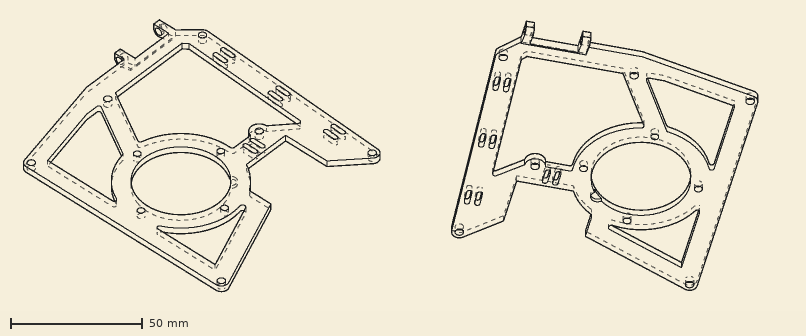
import cadquery as cq
import math

OVERALL_LENGTH = 119
PLATE_THICKNESS = 3.0
HINGE_HEIGHT = 5.0
PLATE_BOTTOM = HINGE_HEIGHT - PLATE_THICKNESS
CORNER_RADIUS = 3.0
INNER_FILLET = 1.0
SHOULDER_FILLET = 1.9
MOUNT_HOLE_DIAMETER = 3.2

TOP_LEFT = (17.8, 99.7)
TOP_RIGHT = (110.1, 94.6)
BOTTOM_LEFT = (18.0, CORNER_RADIUS)
BOTTOM_RIGHT = (OVERALL_LENGTH - CORNER_RADIUS, CORNER_RADIUS)
STRUT_HOLE = (15.3, 49.0)

RING_CENTER = (66.9, 33.9)
RING_RADIUS = 26.5
RING_BORE_DIAMETER = 38.0
RING_BOLT_RADIUS = 22.5
RING_BOLT_DIAMETER = 3.0
RING_BOLT_COUNT = 4
NOTCH_DIAMETER = 5.2
NOTCH_DEPTH = PLATE_THICKNESS / 2
NOTCH_ANGLE = 47

BOSS_CENTER = (70.1, 74.6)
BOSS_RADIUS = 4.0
NECK_LEFT = 69.3
NECK_RIGHT = 79.1

HINGE_WALL_X = 7.7
LEFT_EDGE_X = 5.0
LEFT_BEND_Y = 48.3
SHOULDER_Y = 47.5
SHOULDER_RIGHT_X = 100.9
TOP_BAR_WIDTH = 10.0
TOP_WING_CORNER = (100.4, 79.6)
LUG_SHOULDER_X = 8.3

WINDOW_LEFT = 15.2
WINDOW_CHAMFER = (2.1, 1.7)
WINDOW_FLOOR = 8.1
UPPER_WINDOW_TIP_X = 79.5
LOWER_LEFT_BEND_Y = 37.2
LOWER_LEFT_FLOOR_X = 21.8
RIGHT_LEG_WIDTH = 8.3
RIGHT_WINDOW_END_RADIUS = 1.2
STRUT_ANGLE = 30
STRUT_WIDTH = 7.6

SLOT_LENGTH = 7.0
SLOT_WIDTH = 2.0
SLOT_PAIR_PITCH = 4.0
TOP_SLOT_FIRST_X = 31.5
TOP_SLOT_SPACING = 30.0
TOP_SLOT_PAIRS = 3
NECK_SLOTS_Y = 67.1

LUG_WIDTH = 3.2
LOWER_LUG_Y = 69.6
UPPER_LUG_Y = 91.7
LUG_TOP_Y = UPPER_LUG_Y + LUG_WIDTH
LUG_RADIUS = HINGE_HEIGHT / 2
LUG_HOLE_DIAMETER = 3.2
LUG_TAIL_X = 8.3
LUG_TAIL_DEPTH = 0.8

TOP_SLOPE = (TOP_RIGHT[1] - TOP_LEFT[1]) / (TOP_RIGHT[0] - TOP_LEFT[0])
TOP_ANGLE = math.degrees(math.atan(TOP_SLOPE))


def tangent_line(start, end):
    """Line touching the left of two discs (x, y, radius) when walking from start to end."""
    dx = end[0] - start[0]
    dy = end[1] - start[1]
    length = math.hypot(dx, dy)
    along = (start[2] - end[2]) / length
    across = math.sqrt(1 - along**2)
    nx = (dx * along - dy * across) / length
    ny = (dy * along + dx * across) / length
    return [(disc[0] + disc[2] * nx, disc[1] + disc[2] * ny) for disc in (start, end)]


def rounded_outline(discs):
    """Closed clockwise wire around discs; a disc of zero radius is a sharp corner."""
    count = len(discs)
    lines = [tangent_line(discs[i], discs[(i + 1) % count]) for i in range(count)]
    wire = plate_plane().moveTo(*lines[0][0])
    for i in range(count):
        wire = wire.lineTo(*lines[i][1])
        x, y, radius = discs[(i + 1) % count]
        if radius > 0:
            arc_start = lines[i][1]
            arc_end = lines[(i + 1) % count][0]
            mx = (arc_start[0] + arc_end[0]) / 2 - x
            my = (arc_start[1] + arc_end[1]) / 2 - y
            stretch = radius / math.hypot(mx, my)
            wire = wire.threePointArc((x + mx * stretch, y + my * stretch), arc_end)
    return wire.close()


def plate_plane():
    return cq.Workplane("XY", origin=(0, 0, PLATE_BOTTOM))


def disc(center, radius):
    return plate_plane().center(*center).circle(radius).extrude(PLATE_THICKNESS)


def prism(points):
    return plate_plane().polyline(points).close().extrude(PLATE_THICKNESS)


def round_corners(body, corners, radius=INNER_FILLET):
    """Fillet the upright edge nearest to each corner."""
    for x, y in corners:
        nearest = cq.selectors.NearestToPointSelector((x, y, PLATE_BOTTOM + PLATE_THICKNESS / 2))
        body = body.edges("|Z").edges(nearest).fillet(radius)
    return body


def bar_inner_y(x):
    """Height of the lower edge of the top bar."""
    drop = (TOP_BAR_WIDTH - CORNER_RADIUS) / math.cos(math.radians(TOP_ANGLE))
    return TOP_LEFT[1] + TOP_SLOPE * (x - TOP_LEFT[0]) - drop


def strut_edge_y(x, side):
    """Height of the upper (side = 1) or lower (side = -1) edge of the strut."""
    angle = math.radians(STRUT_ANGLE)
    middle = STRUT_HOLE[1] - math.tan(angle) * (x - STRUT_HOLE[0])
    return middle + side * STRUT_WIDTH / 2 / math.cos(angle)


def ring_x(y, side):
    """X of the ring's outer edge at height y, right (side = 1) or left (side = -1)."""
    return RING_CENTER[0] + side * math.sqrt(RING_RADIUS**2 - (y - RING_CENTER[1])**2)


def strut_ring_corner(side):
    """Where an edge of the strut runs into the left of the ring."""
    slope = -math.tan(math.radians(STRUT_ANGLE))
    offset = strut_edge_y(RING_CENTER[0], side) - RING_CENTER[1]
    a = 1 + slope**2
    b = slope * offset
    c = offset**2 - RING_RADIUS**2
    x = RING_CENTER[0] + (-b - math.sqrt(b**2 - a * c)) / a
    return (x, strut_edge_y(x, side))


def plate_body():
    outline = rounded_outline([
        (HINGE_WALL_X, LUG_TOP_Y, 0),
        (LUG_SHOULDER_X, LUG_TOP_Y, 0),
        (*TOP_LEFT, CORNER_RADIUS),
        (*TOP_RIGHT, CORNER_RADIUS),
        (*TOP_WING_CORNER, 0),
        (NECK_RIGHT, TOP_WING_CORNER[1], 0),
        (NECK_RIGHT, SHOULDER_Y, 0),
        (SHOULDER_RIGHT_X, SHOULDER_Y, 0),
        (*BOTTOM_RIGHT, CORNER_RADIUS),
        (*BOTTOM_LEFT, CORNER_RADIUS),
        (LEFT_EDGE_X, LEFT_BEND_Y, 0),
        (LEFT_EDGE_X, LOWER_LUG_Y, 0),
        (HINGE_WALL_X, LOWER_LUG_Y, 0),
    ])
    body = outline.extrude(PLATE_THICKNESS).union(disc(RING_CENTER, RING_RADIUS))
    return round_corners(body, [(ring_x(SHOULDER_Y, 1), SHOULDER_Y)], SHOULDER_FILLET)


STRUT_END_X = RING_CENTER[0] - RING_BOLT_RADIUS + RING_BOLT_DIAMETER


def upper_window():
    tip = (UPPER_WINDOW_TIP_X, bar_inner_y(UPPER_WINDOW_TIP_X))
    chamfer_x = WINDOW_LEFT + WINDOW_CHAMFER[0]
    window = prism([
        (WINDOW_LEFT, strut_edge_y(WINDOW_LEFT, 1)),
        (WINDOW_LEFT, bar_inner_y(chamfer_x) - WINDOW_CHAMFER[1]),
        (chamfer_x, bar_inner_y(chamfer_x)),
        tip,
        (BOSS_CENTER[0], BOSS_CENTER[1] + BOSS_RADIUS),
        (NECK_LEFT, BOSS_CENTER[1]),
        (NECK_LEFT, RING_CENTER[1]),
        (STRUT_END_X, strut_edge_y(STRUT_END_X, 1)),
    ])
    window = window.cut(disc(RING_CENTER, RING_RADIUS)).cut(disc(BOSS_CENTER, BOSS_RADIUS))
    neck_corner = (NECK_LEFT, RING_CENTER[1] + RING_RADIUS)
    return round_corners(window, [tip, neck_corner, strut_ring_corner(1)])


def lower_left_window():
    strut_corner = (WINDOW_LEFT, strut_edge_y(WINDOW_LEFT, -1))
    window = prism([
        strut_corner,
        (STRUT_END_X, strut_edge_y(STRUT_END_X, -1)),
        RING_CENTER,
        (RING_CENTER[0], WINDOW_FLOOR),
        (LOWER_LEFT_FLOOR_X, WINDOW_FLOOR),
        (WINDOW_LEFT, LOWER_LEFT_BEND_Y),
    ]).cut(disc(RING_CENTER, RING_RADIUS))
    floor_corner = (ring_x(WINDOW_FLOOR, -1), WINDOW_FLOOR)
    return round_corners(window, [strut_corner, strut_ring_corner(-1), floor_corner])


def lower_right_window():
    top, bottom = tangent_line((SHOULDER_RIGHT_X, SHOULDER_Y, 0), (*BOTTOM_RIGHT, CORNER_RADIUS))
    length = math.dist(top, bottom)
    ux = (bottom[0] - top[0]) / length
    uy = (bottom[1] - top[1]) / length
    nx, ny = -uy, ux
    side_x = top[0] - RIGHT_LEG_WIDTH * nx
    side_y = top[1] - RIGHT_LEG_WIDTH * ny
    floor_x = side_x + (WINDOW_FLOOR - side_y) * ux / uy

    side_distance = (side_x - RING_CENTER[0]) * nx + (side_y - RING_CENTER[1]) * ny
    across = side_distance - RIGHT_WINDOW_END_RADIUS
    along = math.sqrt((RING_RADIUS + RIGHT_WINDOW_END_RADIUS)**2 - across**2)
    end = (RING_CENTER[0] + across * nx + along * ux, RING_CENTER[1] + across * ny + along * uy)

    window = prism([
        RING_CENTER,
        end,
        (end[0] + RIGHT_WINDOW_END_RADIUS * nx, end[1] + RIGHT_WINDOW_END_RADIUS * ny),
        (floor_x, WINDOW_FLOOR),
        (RING_CENTER[0], WINDOW_FLOOR),
    ]).cut(disc(RING_CENTER, RING_RADIUS))
    window = round_corners(window, [(ring_x(WINDOW_FLOOR, 1), WINDOW_FLOOR)])
    return window.union(disc(end, RIGHT_WINDOW_END_RADIUS))


def holes():
    mounts = [TOP_LEFT, TOP_RIGHT, BOTTOM_LEFT, BOTTOM_RIGHT, STRUT_HOLE, BOSS_CENTER]
    cutter = plate_plane().pushPoints(mounts).circle(MOUNT_HOLE_DIAMETER / 2).extrude(PLATE_THICKNESS)
    bolts = (
        plate_plane().center(*RING_CENTER)
        .polarArray(RING_BOLT_RADIUS, 0, 360, RING_BOLT_COUNT)
        .circle(RING_BOLT_DIAMETER / 2)
        .extrude(PLATE_THICKNESS)
    )
    return cutter.union(bolts).union(disc(RING_CENTER, RING_BORE_DIAMETER / 2))


def slot_pair(center, angle):
    pair = (
        cq.Workplane("XY")
        .pushPoints([(0, -SLOT_PAIR_PITCH / 2), (0, SLOT_PAIR_PITCH / 2)])
        .slot2D(SLOT_LENGTH, SLOT_WIDTH)
        .extrude(PLATE_THICKNESS)
    )
    return pair.rotate((0, 0, 0), (0, 0, 1), angle).translate((*center, PLATE_BOTTOM))


def slots():
    cutter = slot_pair(((NECK_LEFT + NECK_RIGHT) / 2, NECK_SLOTS_Y), 0)
    half_bar = TOP_BAR_WIDTH / 2 / math.cos(math.radians(TOP_ANGLE))
    for i in range(TOP_SLOT_PAIRS):
        x = TOP_SLOT_FIRST_X + i * TOP_SLOT_SPACING
        cutter = cutter.union(slot_pair((x, bar_inner_y(x) + half_bar), TOP_ANGLE))
    return cutter


def rim_notch():
    return (
        plate_plane().center(*RING_CENTER)
        .polarArray(RING_BORE_DIAMETER / 2, NOTCH_ANGLE, 360, 1)
        .circle(NOTCH_DIAMETER / 2)
        .extrude(NOTCH_DEPTH)
    )


def hinge():
    """Two lugs with a pin hole, joined below the plate by the end of their sloping underside."""
    tail_z = PLATE_BOTTOM - LUG_TAIL_DEPTH
    _, belly = tangent_line((LUG_TAIL_X, tail_z, 0), (LUG_RADIUS, LUG_RADIUS, LUG_RADIUS))
    rounding_x = LUG_RADIUS - math.sqrt(LUG_RADIUS**2 - (LUG_RADIUS - PLATE_BOTTOM)**2)
    diagonal = LUG_RADIUS * (1 - math.sqrt(0.5))
    profile = (
        cq.Workplane("XZ", origin=(0, LUG_TOP_Y, 0))
        .moveTo(0, HINGE_HEIGHT)
        .lineTo(0, PLATE_BOTTOM)
        .lineTo(rounding_x, PLATE_BOTTOM)
        .threePointArc((diagonal, diagonal), belly)
        .lineTo(LUG_TAIL_X, tail_z)
        .lineTo(LUG_TAIL_X, HINGE_HEIGHT)
        .close()
        .extrude(LUG_TOP_Y - LOWER_LUG_Y)
    )
    gap_start = LOWER_LUG_Y + LUG_WIDTH
    gap = cq.Workplane("XY").box(HINGE_WALL_X, UPPER_LUG_Y - gap_start, HINGE_HEIGHT, centered=False)
    pin = (
        cq.Workplane("XZ", origin=(0, LUG_TOP_Y, 0))
        .center(LUG_RADIUS, LUG_RADIUS)
        .circle(LUG_HOLE_DIAMETER / 2)
        .extrude(LUG_TOP_Y - LOWER_LUG_Y)
    )
    return profile.cut(gap.translate((0, gap_start, 0))).cut(pin)


result = plate_body()
for window in (upper_window(), lower_left_window(), lower_right_window()):
    result = result.cut(window)
result = result.cut(holes()).cut(slots()).cut(rim_notch()).union(hinge())